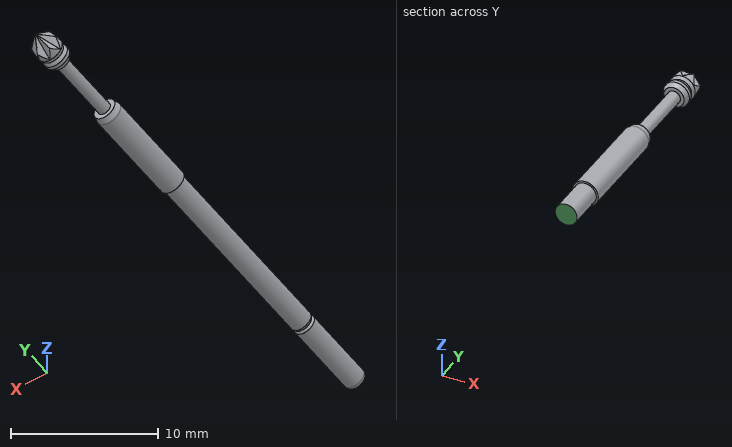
import math

import cadquery as cq

TOTAL_LENGTH = 38.3

TUBE_RADIUS = 0.85
TAIL_FILLET = 0.4
TUBE_GROOVE_Y = 6.5
TUBE_GROOVE_WIDTH = 0.4
TUBE_GROOVE_DEPTH = 0.1

SLEEVE_RADIUS = 1.0
SLEEVE_START_Y = 22.0
SLEEVE_END_Y = 30.05
SLEEVE_CHAMFER_LENGTH = 0.5
SLEEVE_CHAMFER_DEPTH = 0.13

SHAFT_RADIUS = 0.5

HEAD_RADIUS = 1.0
HEAD_LENGTH = 3.05
HEAD_CHAMFER_LENGTH = 0.35
HEAD_CHAMFER_DEPTH = 0.22
HEAD_GROOVE_SETBACK = 2.12
HEAD_GROOVE_WIDTH = 0.6
HEAD_GROOVE_DEPTH = 0.12

STAR_RIDGES = 6
RIDGE_SETBACK = 1.0
VALLEY_SETBACK = 1.75

HEAD_BACK_Y = TOTAL_LENGTH - HEAD_LENGTH
STAR_BASE_Y = TOTAL_LENGTH - VALLEY_SETBACK


def cylinder(radius, start_y, end_y):
    """Solid cylinder on the Y axis."""
    return cq.Workplane("XZ", origin=(0, start_y, 0)).circle(radius).extrude(start_y - end_y)


def cut_v_groove(body, radius, center_y, width, depth):
    """Cut a V-shaped ring groove into a cylinder of the given radius."""
    groove = (
        cq.Workplane("XY")
        .moveTo(radius, center_y - width / 2)
        .lineTo(radius - depth, center_y)
        .lineTo(radius, center_y + width / 2)
        .close()
        .revolve(360, (0, 0, 0), (0, 1, 0))
    )
    return body.cut(groove)


def make_tube():
    tube = cylinder(TUBE_RADIUS, 0, SLEEVE_START_Y).faces("<Y").edges().fillet(TAIL_FILLET)
    return cut_v_groove(tube, TUBE_RADIUS, TUBE_GROOVE_Y, TUBE_GROOVE_WIDTH, TUBE_GROOVE_DEPTH)


def make_sleeve():
    return (
        cq.Workplane("XY")
        .moveTo(0, SLEEVE_START_Y)
        .lineTo(SLEEVE_RADIUS, SLEEVE_START_Y)
        .lineTo(SLEEVE_RADIUS, SLEEVE_END_Y - SLEEVE_CHAMFER_LENGTH)
        .lineTo(SLEEVE_RADIUS - SLEEVE_CHAMFER_DEPTH, SLEEVE_END_Y)
        .lineTo(0, SLEEVE_END_Y)
        .close()
        .revolve(360, (0, 0, 0), (0, 1, 0))
    )


def make_head_body():
    body = (
        cq.Workplane("XY")
        .moveTo(0, HEAD_BACK_Y)
        .lineTo(HEAD_RADIUS - HEAD_CHAMFER_DEPTH, HEAD_BACK_Y)
        .lineTo(HEAD_RADIUS, HEAD_BACK_Y + HEAD_CHAMFER_LENGTH)
        .lineTo(HEAD_RADIUS, STAR_BASE_Y)
        .lineTo(0, STAR_BASE_Y)
        .close()
        .revolve(360, (0, 0, 0), (0, 1, 0))
    )
    groove_y = TOTAL_LENGTH - HEAD_GROOVE_SETBACK
    return cut_v_groove(body, HEAD_RADIUS, groove_y, HEAD_GROOVE_WIDTH, HEAD_GROOVE_DEPTH)


def make_star_point():
    """Star-based pyramid, trimmed to the head's radius."""
    tip = cq.Vector(0, TOTAL_LENGTH, 0)
    ridge_radius = HEAD_RADIUS * VALLEY_SETBACK / RIDGE_SETBACK
    corners = []
    for i in range(2 * STAR_RIDGES):
        radius = ridge_radius if i % 2 == 0 else HEAD_RADIUS
        angle = math.pi * i / STAR_RIDGES
        corners.append(cq.Vector(radius * math.cos(angle), STAR_BASE_Y, radius * math.sin(angle)))
    faces = [cq.Face.makeFromWires(cq.Wire.makePolygon(corners, close=True))]
    for i, corner in enumerate(corners):
        side = cq.Wire.makePolygon([corners[i - 1], corner, tip], close=True)
        faces.append(cq.Face.makeFromWires(side))
    pyramid = cq.Workplane(obj=cq.Solid.makeSolid(cq.Shell.makeShell(faces)))
    return pyramid.intersect(cylinder(HEAD_RADIUS, STAR_BASE_Y, TOTAL_LENGTH))


shaft = cylinder(SHAFT_RADIUS, SLEEVE_END_Y, HEAD_BACK_Y)
result = make_tube().union(make_sleeve()).union(shaft).union(make_head_body()).union(make_star_point())